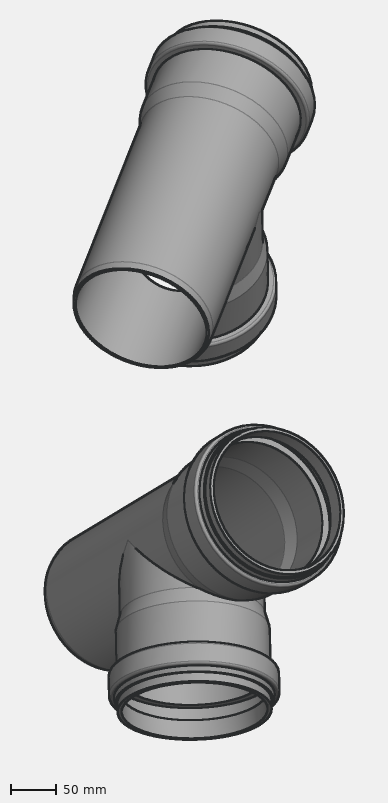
import cadquery as cq

PIPE_OD = 160.0
PIPE_ID = 150.0
SOCKET_OD = 169.7
SOCKET_ID = 160.5
BEAD_OD = 188.0
GROOVE_ID = 178.8

RUN_HALF_LENGTH = 189.0
BRANCH_LENGTH = 188.0
BRANCH_OFFSET = -1.0
BRANCH_TILT = 2.5

LIP_END = 10.5
BEAD_START = 17.0
BEAD_END = 44.2
TAPER_START = 95.3
TAPER_END = 113.5

COLLAR_STEP = 2.0
COLLAR_RISE = 2.0

BEAD_ROUND = 3.0
SPIGOT_CHAMFER_LENGTH = 8.0
SPIGOT_CHAMFER_HEIGHT = 2.3

pipe_r = PIPE_OD / 2
bore_r = PIPE_ID / 2
socket_r = SOCKET_OD / 2
socket_bore_r = SOCKET_ID / 2
bead_wall = (BEAD_OD - GROOVE_ID) / 2


def revolve_about_z(points):
    """Revolve a closed (radius, height) outline around the Z axis."""
    outline = cq.Workplane("YZ").polyline(points).close()
    return outline.revolve(360, (0, 0, 0), (0, 1, 0))


def socket_outside(mouth, foot):
    """Solid pipe along +Z, rising from the foot outline to a beaded socket."""
    collar_r = socket_r + COLLAR_STEP
    body = revolve_about_z([
        *foot,
        (pipe_r, mouth - TAPER_END),
        (socket_r, mouth - TAPER_START),
        (socket_r, mouth - BEAD_START),
        (collar_r + COLLAR_RISE, mouth - BEAD_START),
        (collar_r, mouth - LIP_END),
        (socket_r, mouth - LIP_END),
        (socket_r, mouth),
        (0, mouth),
    ])
    bead = (
        cq.Workplane("XY", origin=(0, 0, mouth - BEAD_END))
        .circle(BEAD_OD / 2)
        .extrude(BEAD_END - BEAD_START)
        .edges()
        .fillet(BEAD_ROUND)
    )
    return body.union(bead)


def socket_inside(mouth, foot_height):
    """Bore of the same pipe, with the seal groove inside the bead."""
    groove_r = GROOVE_ID / 2
    groove_bottom = mouth - BEAD_END + bead_wall
    groove_top = mouth - BEAD_START - bead_wall
    return revolve_about_z([
        (0, foot_height),
        (bore_r, foot_height),
        (bore_r, mouth - TAPER_END),
        (socket_bore_r, mouth - TAPER_START),
        (socket_bore_r, groove_bottom),
        (groove_r, groove_bottom),
        (groove_r, groove_top),
        (socket_bore_r, groove_top),
        (socket_bore_r, mouth),
        (0, mouth),
    ])


def along_run(pipe):
    """Turn +Z to +Y."""
    return pipe.rotate((0, 0, 0), (1, 0, 0), -90)


def along_branch(pipe):
    """Turn +Z to the downward branch axis and move it to its crossing."""
    return pipe.rotate((0, 0, 0), (1, 0, 0), BRANCH_TILT - 180).translate((0, BRANCH_OFFSET, 0))


spigot_foot = [
    (0, -RUN_HALF_LENGTH),
    (pipe_r - SPIGOT_CHAMFER_HEIGHT, -RUN_HALF_LENGTH),
    (pipe_r, SPIGOT_CHAMFER_LENGTH - RUN_HALF_LENGTH),
]
branch_foot = [(0, 0), (pipe_r, 0)]

run_outside = along_run(socket_outside(RUN_HALF_LENGTH, spigot_foot))
run_inside = along_run(socket_inside(RUN_HALF_LENGTH, -RUN_HALF_LENGTH))
branch_outside = along_branch(socket_outside(BRANCH_LENGTH, branch_foot))
branch_inside = along_branch(socket_inside(BRANCH_LENGTH, 0))

result = run_outside.union(branch_outside).cut(run_inside).cut(branch_inside)